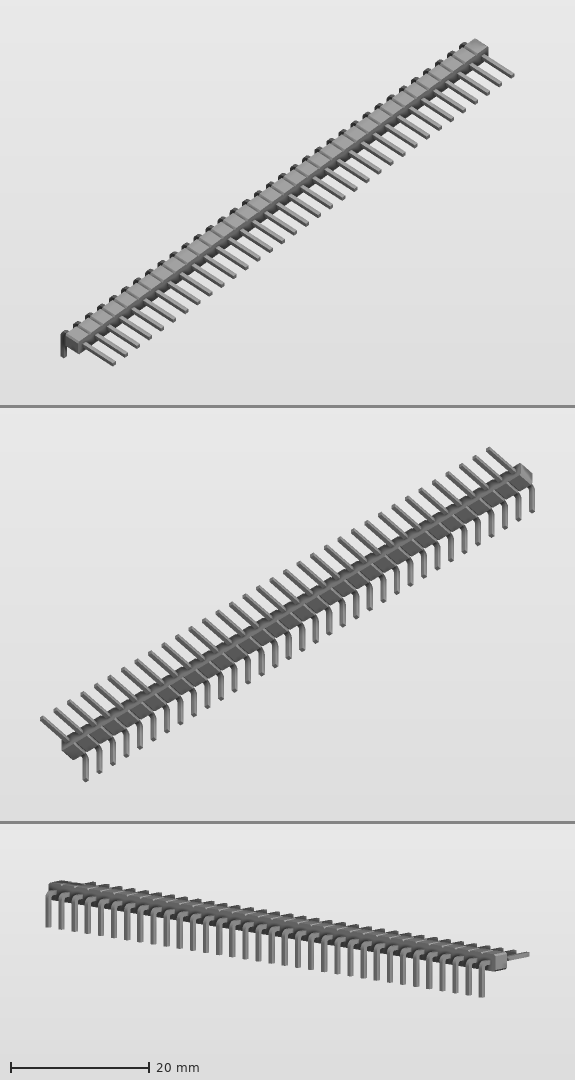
import cadquery as cq

length = 86.4
depth = 10.4
height = 6.2

pin_count = 34
pitch = length / pin_count
housing_size = pitch
housing_chamfer = 0.3
housing_left = 1.8

pin_width = 0.64
bend_inner_radius = 0.35
bend_outer_radius = bend_inner_radius + pin_width

left = -depth / 2
right = depth / 2
top = height / 2
bottom = -height / 2
housing_centre_x = left + housing_left + housing_size / 2
pin_axis_z = top - housing_size / 2


def cell_centre_y(index):
    return (index - (pin_count - 1) / 2) * pitch


def make_housing_cell(centre_y):
    """Square block with its four edges along X chamfered."""
    block = cq.Workplane("XY").box(housing_size, pitch, housing_size)
    block = block.edges("|X").chamfer(housing_chamfer)
    return block.translate((housing_centre_x, centre_y, pin_axis_z))


def make_pin():
    """L-shaped pin in the plane Y = 0: a leg through the housing and a leg pointing down."""
    pin_top = pin_axis_z + pin_width / 2
    pin_underside = pin_top - pin_width
    inner_face = left + pin_width
    bend_x = left + bend_outer_radius
    bend_z = pin_top - bend_outer_radius
    return (
        cq.Workplane("XZ")
        .moveTo(left, bottom)
        .lineTo(left, bend_z)
        .radiusArc((bend_x, pin_top), bend_outer_radius)
        .lineTo(right, pin_top)
        .lineTo(right, pin_underside)
        .lineTo(bend_x, pin_underside)
        .radiusArc((inner_face, bend_z), -bend_inner_radius)
        .lineTo(inner_face, bottom)
        .close()
        .extrude(pin_width / 2, both=True)
    )


pin = make_pin()
solids = []
for cell in range(pin_count):
    solids.append(make_housing_cell(cell_centre_y(cell)).val())
    solids.append(pin.translate((0, cell_centre_y(cell), 0)).val())

result = cq.Workplane("XY").newObject([solids[0].fuse(*solids[1:])]).clean()